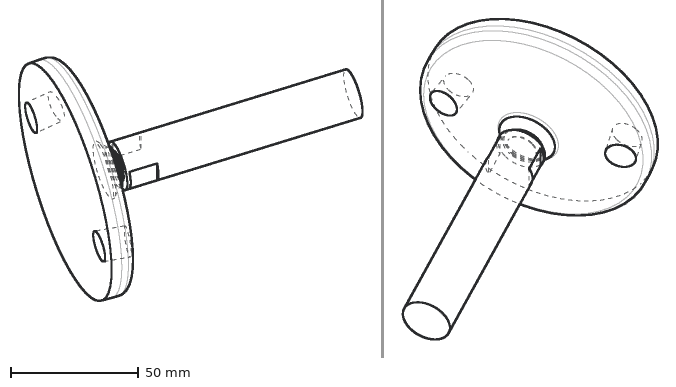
import cadquery as cq
import math

total_length = 122.0

rim_radius = 98.0 / 2
sole_radius = 48.8
draft_height = 4.3
rim_height = 7.1
shoulder_radius = 2.9
cone_angle = 9.0
hub_base_radius = 12.8
hub_blend_radius = 11.8
hub_top_radius = 8.3
hub_top = 20.1

hole_diameter = 12.5
hole_offset = 35.7
hole_cut_length = 48.8

spindle_radius = 20.0 / 2
spindle_bottom = 22.3
neck_radius = 12.5 / 2
collar_radius = 8.7
collar_edge_height = 20.9
collar_top = 22.0
flats_across = 17.2
flat_start = 23.8
flat_length = 11.7


def make_foot():
    """Turned foot with a sloping upper face, a conical hub and two tilted holes."""
    slope = math.radians(cone_angle)

    def shoulder_point(angle):
        return (
            rim_radius - shoulder_radius * (1 - math.cos(angle)),
            rim_height + shoulder_radius * math.sin(angle),
        )

    shoulder_sweep = math.pi / 2 - slope
    shoulder_end = shoulder_point(shoulder_sweep)
    hub_base = shoulder_end[1] + (shoulder_end[0] - hub_base_radius) * math.tan(slope)
    hub_blend_height = hub_top - (hub_blend_radius - hub_top_radius)

    foot = (
        cq.Workplane("XY")
        .moveTo(0, 0)
        .lineTo(sole_radius, 0)
        .lineTo(rim_radius, draft_height)
        .lineTo(rim_radius, rim_height)
        .threePointArc(shoulder_point(shoulder_sweep / 2), shoulder_end)
        .lineTo(hub_base_radius, hub_base)
        .tangentArcPoint((hub_blend_radius, hub_blend_height), relative=False)
        .lineTo(hub_top_radius, hub_top)
        .lineTo(0, hub_top)
        .close()
        .revolve(360, (0, 0, 0), (0, 1, 0))
    )
    for side in (-1, 1):
        hole_direction = cq.Vector(side * math.sin(slope), math.cos(slope), 0)
        hole_centre = cq.Vector(side * hole_offset, 0, 0)
        hole = cq.Solid.makeCylinder(
            hole_diameter / 2,
            hole_cut_length,
            hole_centre - hole_direction * (hole_cut_length / 2),
            hole_direction,
        )
        foot = foot.cut(cq.Workplane(obj=hole))
    return foot.solids()


def make_spindle():
    """Round spindle with two wrench flats, standing on the hub by a collar."""
    spindle = (
        cq.Workplane("XY")
        .moveTo(0, hub_top)
        .lineTo(hub_top_radius, hub_top)
        .lineTo(collar_radius, collar_edge_height)
        .lineTo(neck_radius, collar_top)
        .lineTo(neck_radius, spindle_bottom)
        .lineTo(spindle_radius, spindle_bottom)
        .lineTo(spindle_radius, total_length)
        .lineTo(0, total_length)
        .close()
        .revolve(360, (0, 0, 0), (0, 1, 0))
    )
    cutter_width = 2 * spindle_radius
    for side in (-1, 1):
        cutter = cq.Workplane("XY").box(cutter_width, flat_length, cutter_width).translate(
            (side * (flats_across + cutter_width) / 2, flat_start + flat_length / 2, 0)
        )
        spindle = spindle.cut(cutter)
    return spindle.solids()


foot = make_foot()
spindle = make_spindle()
result = cq.Compound.makeCompound([foot.val(), spindle.val()])